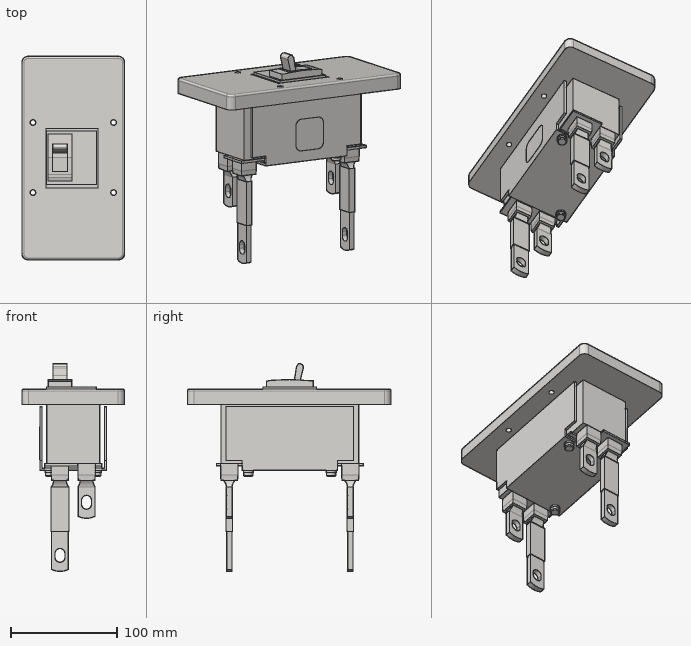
import cadquery as cq


cover_width = 97.0
cover_length = 192.0
cover_height = 14.6
cover_corner_radius = 6.2
cover_edge_radius = 2.0
cover_hole_diameter = 5.0
cover_hole_spacing_x = 76.0
cover_hole_spacing_y = 66.0

breaker_y = 0.5

window_width = 49.0
window_length = 56.0
window_x = -1.3
window_y = 0.0

case_width = 50.0
case_length = 130.0
case_bottom = -55.5

base_width = 54.0
base_length = 138.5
base_thickness = 2.2
base_bottom = case_bottom - base_thickness
base_notch_x = 4.2
base_spacer_bottom = -59.8

escutcheon_width = 47.0
escutcheon_length = 50.5
escutcheon_top = cover_height + 2.1
escutcheon_x = -1.7
pole_x = -12.5
boss_width = 22.2
boss_back_y = 22.7
boss_front_y = -21.6
boss_peak_y = 0.4
boss_peak_z = cover_height + 8.9
boss_edge_z = cover_height + 7.3
boss_back_z = cover_height + 7.8
boss_shoulder_z = cover_height + 8.2
boss_shoulder_inset = 3.3
boss_step_y = -15.5
boss_step_z = cover_height + 8.35

shroud_width = 14.4
shroud_back_y = 13.3
shroud_front_y = -12.7
shroud_rise = 0.1

toggle_width = 13.4
toggle_top = 38.47
toggle_root_z = 21.0
toggle_root_front_y = 4.1
toggle_root_back_y = 10.0
toggle_bend_y = 5.5
toggle_bend_z = 27.5
toggle_front_y = 6.5
toggle_front_z = 34.5
toggle_nose_y = 6.9
toggle_nose_z = 35.8
toggle_crest_front_y = 8.5
toggle_crest_back_y = 10.0
toggle_back_y = 13.4
toggle_back_z = 34.8
toggle_back_round = (12.7, 37.1)

bracket_width = 63.0
bracket_thickness = 2.2
bracket_bottom = base_spacer_bottom - bracket_thickness
bracket_floor_length = 90.0
flap_length = 120.0
flap_top = -2.0
flap_bottom = -52.6
label_size = 30.5
label_corner_radius = 6.0
label_thickness = 0.1
label_y = -3.1
label_z = -36.5

stud_x = 12.5
stud_spacing_y = 114.0
stud_head_size = 16.5
stud_head_end_size = 15.8
stud_head_taper_z = -66.6
stud_head_bottom = -71.4
stud_neck_width = 12.0
stud_neck_depth = 11.0
neck_flare_at_middle = 0.6
neck_excess_at_middle = 0.9
blade_width = 16.0
blade_depth = 5.2
blade_top = -77.5
blade_tip_sagitta = 2.0
overall_height = 195.77
stud_length_difference = 50.0
long_blade_tip = toggle_top - overall_height
short_blade_tip = long_blade_tip + stud_length_difference
blade_hole_width = 9.2
blade_hole_height = 12.8
blade_hole_above_tip = 15.2
sleeve_width = 17.0
sleeve_depth = 6.3
sleeve_bottom = -119.6

screw_x = 21.7
screw_spacing_y = 78.0
washer_diameter = 9.6
washer_thickness = 2.1
screw_head_diameter = 9.0
screw_head_height = 3.5
screw_head_chamfer = 0.9


def block(width, length, bottom, top, x=0.0, y=0.0):
    """Upright box between two heights, centred on (x, y)."""
    return (
        cq.Workplane("XY", origin=(x, y, bottom))
        .box(width, length, top - bottom, centered=(True, True, False))
    )


def make_cover():
    cover = block(cover_width, cover_length, 0, cover_height)
    cover = cover.edges("|Z").fillet(cover_corner_radius)
    cover = cover.faces(">Z").edges().fillet(cover_edge_radius)
    holes = (
        cq.Workplane("XY", origin=(0, breaker_y, 0))
        .rect(cover_hole_spacing_x, cover_hole_spacing_y, forConstruction=True)
        .vertices()
        .circle(cover_hole_diameter / 2)
        .extrude(cover_height)
    )
    window = block(window_width, window_length, 0, cover_height, window_x, window_y)
    return cover.cut(holes).cut(window)


def boss_solid(width, rise=0.0):
    """Slice of the boss, centred on the pole, with its roof lifted by rise."""
    profile = [
        (boss_back_y, cover_height),
        (boss_back_y, boss_back_z + rise),
        (boss_peak_y, boss_peak_z + rise),
        (boss_step_y, boss_step_z + rise),
        (boss_front_y + boss_shoulder_inset, boss_shoulder_z + rise),
        (boss_front_y, boss_edge_z + rise),
        (boss_front_y, cover_height),
    ]
    return cq.Workplane("YZ", origin=(pole_x, 0, 0)).polyline(profile).close().extrude(width / 2, both=True)


def make_boss():
    """Roof-topped boss with the slightly raised shroud of the toggle."""
    shroud_room = block(
        shroud_width, shroud_back_y - shroud_front_y, cover_height, toggle_top,
        pole_x, (shroud_back_y + shroud_front_y) / 2,
    )
    shroud = boss_solid(shroud_width, shroud_rise).intersect(shroud_room)
    return boss_solid(boss_width).union(shroud)


def make_toggle():
    """Lever with a slightly bent front face and a rounded tip."""
    return (
        cq.Workplane("YZ", origin=(pole_x, 0, 0))
        .moveTo(toggle_root_front_y, toggle_root_z)
        .lineTo(toggle_bend_y, toggle_bend_z)
        .lineTo(toggle_front_y, toggle_front_z)
        .lineTo(toggle_nose_y, toggle_nose_z)
        .lineTo(toggle_crest_front_y, toggle_top)
        .lineTo(toggle_crest_back_y, toggle_top)
        .threePointArc(toggle_back_round, (toggle_back_y, toggle_back_z))
        .lineTo(toggle_root_back_y, toggle_root_z)
        .close()
        .extrude(toggle_width / 2, both=True)
    )


def make_breaker():
    case = block(case_width, case_length, case_bottom, 0, y=breaker_y)
    neck = block(window_width, window_length, 0, cover_height, window_x, window_y)
    escutcheon = block(
        escutcheon_width, escutcheon_length, cover_height, escutcheon_top, escutcheon_x, breaker_y
    )
    base = block(base_width, base_length, base_bottom, case_bottom, y=breaker_y)
    notch_width = base_width / 2 - base_notch_x
    notch_depth = base_length - stud_spacing_y + stud_head_size
    for side in (-1, 1):
        notch = block(
            notch_width, notch_depth, base_bottom, case_bottom,
            base_notch_x + notch_width / 2, breaker_y + side * base_length / 2,
        )
        base = base.cut(notch)
    spacer = block(base_width, bracket_floor_length, base_spacer_bottom, base_bottom, y=breaker_y)
    breaker = case
    for piece in (neck, escutcheon, base, spacer, make_boss(), make_toggle()):
        breaker = breaker.union(piece)
    return breaker


def make_bracket():
    inner_width = bracket_width - 2 * bracket_thickness
    bracket = block(bracket_width, flap_length, flap_bottom, flap_top, y=breaker_y)
    bracket = bracket.union(
        block(bracket_width, bracket_floor_length, bracket_bottom, flap_top, y=breaker_y)
    )
    bracket = bracket.cut(block(inner_width, flap_length, base_spacer_bottom, flap_top, y=breaker_y))
    label = (
        cq.Workplane("YZ", origin=(-bracket_width / 2, label_y, label_z))
        .rect(label_size, label_size)
        .extrude(-label_thickness)
        .edges("|X")
        .fillet(label_corner_radius)
    )
    return bracket.union(label)


def neck_profile(plane, half_top, middle, half_bottom):
    """Prism with curved flanks, between the stud head and the blade."""
    middle_offset, middle_z = middle
    return (
        cq.Workplane(plane)
        .moveTo(-half_top, stud_head_bottom)
        .threePointArc((-middle_offset, middle_z), (-half_bottom, blade_top))
        .lineTo(half_bottom, blade_top)
        .threePointArc((middle_offset, middle_z), (half_top, stud_head_bottom))
        .close()
        .extrude(blade_width, both=True)
    )


def make_stud_neck():
    """Neck that flares out in X and thins in Y on its way down to the blade."""
    mid_z = (stud_head_bottom + blade_top) / 2
    mid_x = stud_neck_width / 2 + neck_flare_at_middle
    mid_y = blade_depth / 2 + neck_excess_at_middle
    width_profile = neck_profile("XZ", stud_neck_width / 2, (mid_x, mid_z), blade_width / 2)
    depth_profile = neck_profile("YZ", stud_neck_depth / 2, (mid_y, mid_z), blade_depth / 2)
    return width_profile.intersect(depth_profile)


def make_stud(head_top, blade_tip, sleeved):
    """Stud on the Z axis: tapered square head, neck and flat blade with a slotted end."""
    head = block(stud_head_size, stud_head_size, stud_head_taper_z, head_top)
    taper = (
        cq.Workplane("XY", origin=(0, 0, stud_head_taper_z))
        .rect(stud_head_size, stud_head_size)
        .workplane(offset=stud_head_bottom - stud_head_taper_z)
        .rect(stud_head_end_size, stud_head_end_size)
        .loft(ruled=True)
    )
    corner_z = blade_tip + blade_tip_sagitta
    blade = (
        cq.Workplane("XZ")
        .moveTo(-blade_width / 2, blade_top)
        .lineTo(-blade_width / 2, corner_z)
        .threePointArc((0, blade_tip), (blade_width / 2, corner_z))
        .lineTo(blade_width / 2, blade_top)
        .close()
        .extrude(blade_depth / 2, both=True)
    )
    hole = (
        cq.Workplane("XZ", origin=(0, 0, blade_tip + blade_hole_above_tip))
        .slot2D(blade_hole_height, blade_hole_width, 90)
        .extrude(blade_depth, both=True)
    )
    stud = head.union(taper).union(make_stud_neck()).union(blade.cut(hole))
    if sleeved:
        stud = stud.union(block(sleeve_width, sleeve_depth, sleeve_bottom, blade_top))
    return stud


def make_screw():
    washer_bottom = bracket_bottom - washer_thickness
    head_bottom = washer_bottom - screw_head_height
    washer = (
        cq.Workplane("XY", origin=(0, 0, washer_bottom))
        .circle(washer_diameter / 2)
        .extrude(washer_thickness)
    )
    head = (
        cq.Workplane("XY", origin=(0, 0, head_bottom))
        .circle(screw_head_diameter / 2)
        .extrude(screw_head_height)
        .faces("<Z")
        .chamfer(screw_head_chamfer)
    )
    return washer.union(head)


cover = make_cover()
breaker = make_breaker()
bracket = make_bracket()

studs = []
for side in (-1, 1):
    stud_y = breaker_y + side * stud_spacing_y / 2
    studs.append(make_stud(base_bottom, long_blade_tip, True).translate((-stud_x, stud_y, 0)))
    studs.append(make_stud(case_bottom, short_blade_tip, False).translate((stud_x, stud_y, 0)))

screws = []
for side in (-1, 1):
    screws.append(make_screw().translate((side * screw_x, breaker_y + side * screw_spacing_y / 2, 0)))

bodies = [cover, breaker, bracket, *studs, *screws]
result = cq.Compound.makeCompound([body.val() for body in bodies])